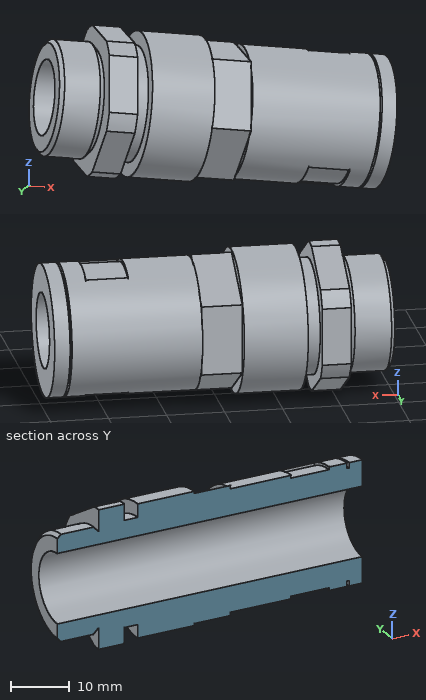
import cadquery as cq

bore_diameter = 13.0

thread_diameter = 20.0
tip_chamfer = 0.7
thread_end = 7.0
undercut_depth = 1.0
undercut_diameter = thread_diameter - 2 * undercut_depth

nut_start = thread_end + undercut_depth
nut_length = 5.0
nut_across_flats = 24.0
nut_corner_diameter = 26.0
nut_end = nut_start + nut_length

collar_start = 15.5
collar_length = 11.0
collar_diameter = 25.02

hex_start = collar_start + collar_length
hex_length = 7.0
hex_across_flats = 21.0

barrel_start = hex_start + hex_length
barrel_diameter = 23.0
end_ring_length = 2.65
groove_width = 0.35
groove_diameter = 21.0
total_length = 59.0
cutter_span = 2 * barrel_diameter

recess_start = 45.2
recess_length = 7.3
recess_width = 10.4
recess_floor_diameter = 22.0


def cylinder(start, length, diameter):
    """Solid cylinder along X."""
    return cq.Workplane("YZ", origin=(start, 0, 0)).circle(diameter / 2).extrude(length)


def hexagon(start, length, across_flats):
    """Hexagonal prism along X with two flats facing +Y and -Y."""
    return (
        cq.Workplane("YZ", origin=(start, 0, 0))
        .polygon(6, across_flats, circumscribed=True)
        .extrude(length)
    )


def make_spigot():
    """Threaded spigot, running under the nut as far as the collar."""
    thread_radius = thread_diameter / 2
    return (
        cq.Workplane("XY")
        .moveTo(0, 0)
        .lineTo(0, thread_radius - tip_chamfer)
        .lineTo(tip_chamfer, thread_radius)
        .lineTo(thread_end, thread_radius)
        .lineTo(nut_start, undercut_diameter / 2)
        .lineTo(nut_end, undercut_diameter / 2)
        .lineTo(nut_end, thread_radius)
        .lineTo(collar_start, thread_radius)
        .lineTo(collar_start, 0)
        .close()
        .revolve(360, (0, 0, 0), (1, 0, 0))
    )


def make_nut():
    """Lock nut with rounded corners."""
    corner_limit = cylinder(nut_start, nut_length, nut_corner_diameter)
    return hexagon(nut_start, nut_length, nut_across_flats).intersect(corner_limit)


def make_recess_cutter():
    """Ring segments above and below the axis that leave a curved recess floor."""
    slab = cq.Workplane("XY").box(
        recess_length, recess_width, cutter_span, centered=(False, True, True)
    )
    slab = slab.translate((recess_start, 0, 0))
    return slab.cut(cylinder(recess_start, recess_length, recess_floor_diameter))


def make_groove_cutter():
    """Thin ring around the barrel, just ahead of the end ring."""
    groove_start = total_length - end_ring_length - groove_width
    outer = cylinder(groove_start, groove_width, cutter_span)
    return outer.cut(cylinder(groove_start, groove_width, groove_diameter))


def make_barrel():
    """Rear barrel with its ring groove and grip recesses."""
    barrel = cylinder(barrel_start, total_length - barrel_start, barrel_diameter)
    return barrel.cut(make_groove_cutter()).cut(make_recess_cutter())


gland = (
    make_spigot()
    .union(make_nut())
    .union(cylinder(collar_start, collar_length, collar_diameter))
    .union(hexagon(hex_start, hex_length, hex_across_flats))
    .union(make_barrel())
)
result = gland.cut(cylinder(0, total_length, bore_diameter))